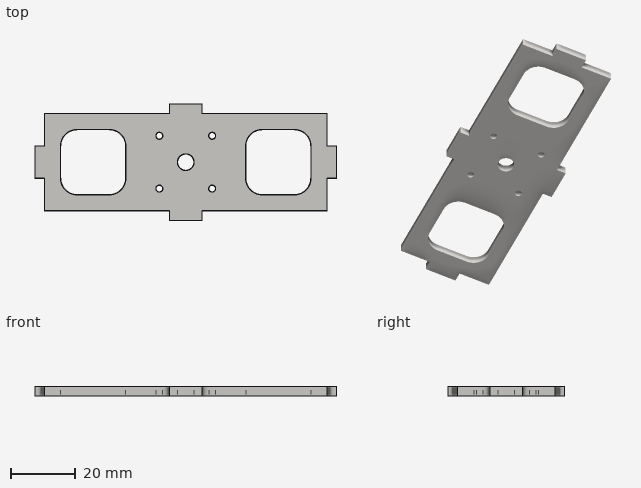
import cadquery as cq

overall_length = 93.0
overall_width = 36.0
thickness = 3.0

tab_width = 10.0
tab_projection = thickness
body_length = overall_length - 2 * tab_projection
body_width = overall_width - 2 * tab_projection

window_side = 20.0
window_corner_radius = 5.0
window_end_margin = 5.0
window_offset = body_length / 2 - window_end_margin - window_side / 2

center_hole_diameter = 5.0
screw_hole_diameter = 2.0
screw_hole_spacing = 16.3


def plate_block(length, width):
    """Block of plate thickness, centred on the origin in X and Y, resting on Z = 0."""
    return cq.Workplane("XY").box(length, width, thickness, centered=(True, True, False))


body = plate_block(body_length, body_width)
end_tabs = plate_block(overall_length, tab_width)
side_tabs = plate_block(tab_width, overall_width)
plate = body.union(end_tabs).union(side_tabs)

window = plate_block(window_side, window_side).edges("|Z").fillet(window_corner_radius)
for side in (-1, 1):
    plate = plate.cut(window.translate((side * window_offset, 0, 0)))

center_hole = cq.Workplane("XY").circle(center_hole_diameter / 2).extrude(thickness)
screw_holes = (
    cq.Workplane("XY")
    .rect(screw_hole_spacing, screw_hole_spacing, forConstruction=True)
    .vertices()
    .circle(screw_hole_diameter / 2)
    .extrude(thickness)
)
result = plate.cut(center_hole).cut(screw_holes)